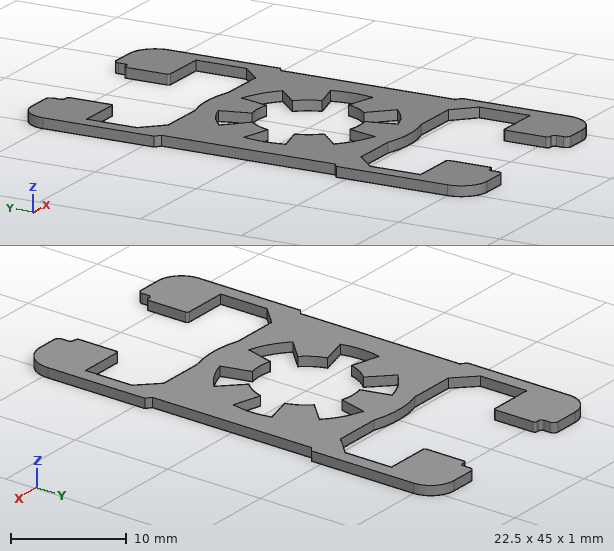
import cadquery as cq
import math

LENGTH = 45.0
WIDTH = 22.5
THICKNESS = 1.0
CORNER_RADIUS = 2.5
LARGE_CORNER_RADIUS = 3.0

RELIEF_DEPTH = 0.55
RELIEF_HALF_LENGTH = 9.0
RELIEF_RAMP = 0.4

MOUTH_WIDTH = 11.6
MOUTH_DEPTH = 1.5
NECK_WIDTH = 10.0
LIP_DEPTH = 6.0
SLOT_WIDTH = 19.55
FLOOR_Y = 9.55
FLOOR_CHAMFER = 2.0
MOUTH_EDGE_RADIUS = 0.5
STEP_INNER_RADIUS = 0.3
STEP_OUTER_RADIUS = 0.25
LIP_INNER_RADIUS = 0.22

BULGE_RADIUS = 10.0

ROOT_RADIUS = 8.0
TIP_RADIUS = 5.0
TOOTH_COUNT = 6

OVERCUT = 0.45


def make_plate():
    plate = cq.Workplane("XY").box(WIDTH, LENGTH, THICKNESS, centered=(True, True, False))
    plate = plate.faces(">X").edges("|Z").edges("<Y").fillet(LARGE_CORNER_RADIUS)
    plate = plate.faces(">Y").edges("|Z").fillet(CORNER_RADIUS)
    return plate.faces("<X").edges("|Z").edges("<Y").fillet(CORNER_RADIUS)


def make_side_relief():
    """Cutter for the +X side, with a ramp at each end."""
    edge_x = WIDTH / 2
    floor_x = edge_x - RELIEF_DEPTH
    floor_half_length = RELIEF_HALF_LENGTH - RELIEF_RAMP
    return (
        cq.Workplane("XY")
        .moveTo(edge_x + OVERCUT, -RELIEF_HALF_LENGTH)
        .lineTo(edge_x, -RELIEF_HALF_LENGTH)
        .lineTo(floor_x, -floor_half_length)
        .lineTo(floor_x, floor_half_length)
        .lineTo(edge_x, RELIEF_HALF_LENGTH)
        .lineTo(edge_x + OVERCUT, RELIEF_HALF_LENGTH)
        .close()
        .extrude(THICKNESS)
    )


def make_end_slot():
    """Cutter for the slot at the +Y end."""
    end_y = LENGTH / 2
    step_y = end_y - MOUTH_DEPTH
    lip_y = end_y - LIP_DEPTH
    mouth_x = MOUTH_WIDTH / 2
    neck_x = NECK_WIDTH / 2
    slot_x = SLOT_WIDTH / 2
    chamfer_x = slot_x - FLOOR_CHAMFER
    chamfer_y = FLOOR_Y + FLOOR_CHAMFER

    bulge_x = math.sqrt(BULGE_RADIUS**2 - FLOOR_Y**2)

    return (
        cq.Workplane("XY")
        .moveTo(mouth_x, end_y)
        .lineTo(mouth_x, step_y)
        .lineTo(neck_x, step_y)
        .lineTo(neck_x, lip_y)
        .lineTo(slot_x, lip_y)
        .lineTo(slot_x, chamfer_y)
        .lineTo(chamfer_x, FLOOR_Y)
        .lineTo(bulge_x, FLOOR_Y)
        .threePointArc((0, BULGE_RADIUS), (-bulge_x, FLOOR_Y))
        .lineTo(-chamfer_x, FLOOR_Y)
        .lineTo(-slot_x, chamfer_y)
        .lineTo(-slot_x, lip_y)
        .lineTo(-neck_x, lip_y)
        .lineTo(-neck_x, step_y)
        .lineTo(-mouth_x, step_y)
        .lineTo(-mouth_x, end_y)
        .close()
        .extrude(THICKNESS)
    )


def polar_point(radius, angle):
    return (radius * math.cos(angle), radius * math.sin(angle))


def make_toothed_opening():
    """Cutter whose gaps and teeth span equal angles; one gap faces +X."""
    pitch = 2 * math.pi / TOOTH_COUNT
    half_gap = pitch / 4
    outline = cq.Workplane("XY").moveTo(*polar_point(TIP_RADIUS, -half_gap))
    for index in range(TOOTH_COUNT):
        gap = index * pitch
        tooth = gap + pitch / 2
        outline = (
            outline.lineTo(*polar_point(ROOT_RADIUS, gap - half_gap))
            .threePointArc(polar_point(ROOT_RADIUS, gap), polar_point(ROOT_RADIUS, gap + half_gap))
            .lineTo(*polar_point(TIP_RADIUS, gap + half_gap))
            .threePointArc(polar_point(TIP_RADIUS, tooth), polar_point(TIP_RADIUS, tooth + half_gap))
        )
    return outline.close().extrude(THICKNESS)


def round_lip_edges(body):
    """Round the four upright corners of every slot lip."""
    end_y = LENGTH / 2
    corners = (
        (MOUTH_WIDTH / 2, end_y, MOUTH_EDGE_RADIUS),
        (MOUTH_WIDTH / 2, end_y - MOUTH_DEPTH, STEP_INNER_RADIUS),
        (NECK_WIDTH / 2, end_y - MOUTH_DEPTH, STEP_OUTER_RADIUS),
        (NECK_WIDTH / 2, end_y - LIP_DEPTH, LIP_INNER_RADIUS),
    )
    for x, y, radius in corners:
        for side_x in (1, -1):
            for side_y in (1, -1):
                corner = cq.selectors.NearestToPointSelector((side_x * x, side_y * y, THICKNESS / 2))
                body = body.edges("|Z").edges(corner).fillet(radius)
    return body


side_relief = make_side_relief()
end_slot = make_end_slot()

result = make_plate().cut(make_toothed_opening())
result = result.cut(side_relief).cut(side_relief.mirror("YZ"))
result = result.cut(end_slot).cut(end_slot.mirror("XZ"))
result = round_lip_edges(result)